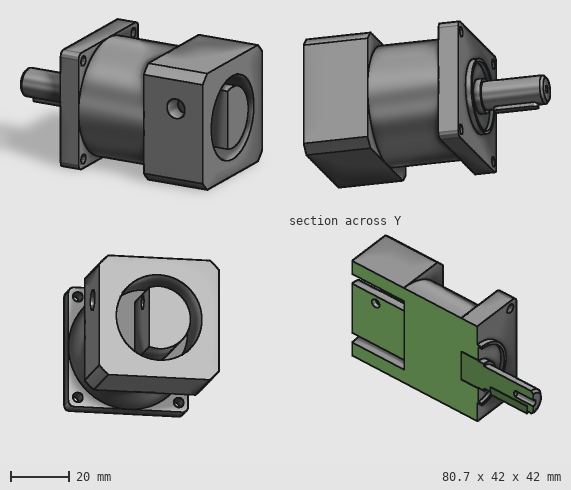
import cadquery as cq
import math


total_length = 80.7
square_side = 42.0

collar_front_x = 22.0
pilot_front_x = 23.0
flange_front_x = 25.0
flange_back_x = 32.1
adapter_front_x = 57.6

flange_corner_radius = 2.0
mount_hole_diameter = 3.4
mount_hole_offset = 17.7
pilot_diameter = 26.0
pilot_recess_diameter = 24.0
pilot_recess_depth = 1.45

adapter_corner_diameter = 55.0
motor_bore_diameter = 30.0
access_hole_diameter = 7.0
clamp_hole_x = 70.2
clamp_hole_z = 7.5

shaft_diameter = 10.0
shaft_chamfer = 1.0
collar_diameter = 12.0
centre_hole_diameter = 2.5
centre_hole_depth = 8.1
centre_hole_tip_angle = 118.0
key_start_x = 3.0
key_length = 16.05
key_width = 3.2
key_height = key_width
key_outer_z = -6.1

hub_diameter = 21.95
hub_flat_distance = 3.5
screw_hole_diameter = 3.2
screw_counterbore_diameter = 4.6
screw_counterbore_depth = 1.6


def cylinder(diameter, start_x, end_x):
    """Cylinder on the X axis between two stations."""
    return cq.Workplane("YZ", origin=(start_x, 0, 0)).circle(diameter / 2).extrude(end_x - start_x)


def square_block(start_x, end_x):
    """Square block on the X axis between two stations."""
    plane = cq.Workplane("YZ", origin=(start_x, 0, 0))
    return plane.rect(square_side, square_side).extrude(end_x - start_x)


def cross_hole(diameter, start_y, length):
    """Cylinder along +Y on the axis of the clamp screw."""
    plane = cq.Workplane("XZ", origin=(clamp_hole_x, start_y, clamp_hole_z))
    return plane.circle(diameter / 2).extrude(-length)


def make_key():
    """Round-ended key, standing out of the -Z side of the shaft."""
    plane = cq.Workplane("XY", origin=(key_start_x + key_length / 2, 0, key_outer_z))
    return plane.slot2D(key_length, key_width).extrude(key_height)


def make_flange():
    """Square output flange with rounded corners, four mounting holes and a pilot ring."""
    flange = square_block(flange_front_x, flange_back_x).edges("|X").fillet(flange_corner_radius)
    hole_spacing = 2 * mount_hole_offset
    flange = (
        flange.faces("<X").workplane(origin=(flange_front_x, 0, 0))
        .rect(hole_spacing, hole_spacing, forConstruction=True)
        .vertices()
        .hole(mount_hole_diameter)
    )
    pilot = cylinder(pilot_diameter, pilot_front_x, flange_front_x)
    recess = cylinder(pilot_recess_diameter, pilot_front_x, pilot_front_x + pilot_recess_depth)
    return flange.union(pilot.cut(recess))


def make_adapter():
    """Square motor adapter with turned corners, an open motor bore and a screw access hole."""
    turned_corners = cylinder(adapter_corner_diameter, adapter_front_x, total_length)
    adapter = square_block(adapter_front_x, total_length).intersect(turned_corners)
    access_hole = cross_hole(access_hole_diameter, -square_side / 2, square_side / 2)
    motor_bore = cylinder(motor_bore_diameter, adapter_front_x, total_length)
    return adapter.cut(access_hole).cut(motor_bore)


def make_housing():
    """Flange, round gear ring and motor adapter in one piece, bored for the shaft collar."""
    gear_ring = cylinder(square_side, flange_back_x, adapter_front_x)
    collar_seat = cylinder(collar_diameter, pilot_front_x, flange_back_x)
    return make_flange().union(gear_ring).union(make_adapter()).cut(collar_seat)


def make_centre_hole():
    """Blind drilled hole with a conical tip, as a solid to cut from the shaft."""
    radius = centre_hole_diameter / 2
    tip_depth = radius / math.tan(math.radians(centre_hole_tip_angle / 2))
    profile = [(0, 0), (0, radius), (centre_hole_depth, radius), (centre_hole_depth + tip_depth, 0)]
    return cq.Workplane("XY").polyline(profile).close().revolve(360, (0, 0, 0), (1, 0, 0))


def make_shaft():
    """Output shaft with chamfered tip, centre hole, collar and keyway."""
    journal = cylinder(shaft_diameter, 0, collar_front_x).faces("<X").chamfer(shaft_chamfer)
    collar = cylinder(collar_diameter, collar_front_x, flange_back_x)
    shaft_body = journal.union(collar).cut(make_key())
    return shaft_body.cut(make_centre_hole())


def make_clamp_hub():
    """Clamp hub in the motor bore, with a flat and a counterbored cross hole for its screw."""
    flat_cutter = cq.Workplane("XY").box(
        total_length, hub_diameter, hub_diameter, centered=(False, False, True)
    ).translate((0, -hub_flat_distance - hub_diameter, 0))
    screw_hole = cross_hole(screw_hole_diameter, -hub_flat_distance, hub_diameter)
    counterbore = cross_hole(screw_counterbore_diameter, -hub_flat_distance, screw_counterbore_depth)
    hub = cylinder(hub_diameter, adapter_front_x, total_length)
    return hub.cut(flat_cutter).cut(screw_hole).cut(counterbore)


housing = make_housing()
shaft = make_shaft()
key = make_key()
clamp_hub = make_clamp_hub()

result = cq.Compound.makeCompound([housing.val(), shaft.val(), key.val(), clamp_hub.val()])